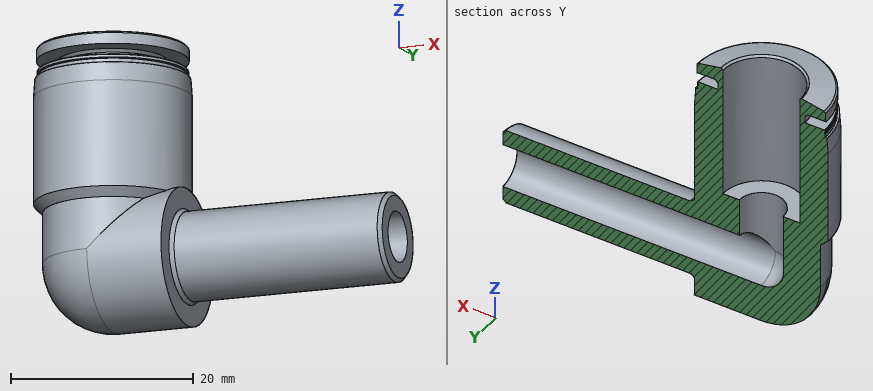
import cadquery as cq

overall_length = 42.45
overall_height = 32.65

body_d = 17.5
body_top_d = 17.2
elbow_d = 15.5
collar_d = 16.7
flange_d = 16.8
neck_d = 11.4
tube_d = 10.0
passage_d = 5.7

top_z = overall_height - elbow_d / 2
flange_bottom_z = 22.92
collar_top_z = 21.78
body_top_z = 20.8
body_taper_z = 18.7
body_bottom_z = 6.75
seat_z = elbow_d / 2

flange_slope_height = 0.55
flange_edge_chamfer = 0.2
neck_chamfer = 0.35
collar_chamfer = 0.1
collar_groove_top_drop = 0.4
collar_groove_width = 0.13
collar_groove_depth = 0.1
body_chamfer = (body_d - elbow_d) / 2
mouth_chamfer = 0.25
stem_root_flare = 0.35
stem_root_length = 0.45
stem_end_chamfer = 0.42

elbow_face_overhang = 0.05
elbow_face_x = body_d / 2 + elbow_face_overhang
stem_end_x = overall_length - body_d / 2


def revolve_about_z(points):
    """Turn a half profile of (radius, height) points into a solid about Z."""
    return cq.Workplane("XZ").polyline(points).close().revolve(360, (0, 0), (0, 1))


def revolve_about_x(points):
    """Turn a half profile of (distance, radius) points into a solid about X."""
    return cq.Workplane("XZ").polyline(points).close().revolve(360, (0, 0), (1, 0))


def rounded_elbow(diameter, leg_x, leg_z):
    """Two round legs along +X and +Z, closed at the outer corner by a quarter ball."""
    radius = diameter / 2
    half_disc = cq.Workplane("XY").moveTo(0, -radius).threePointArc((-radius, 0), (0, radius)).close()
    quarter_ball = half_disc.revolve(90, (0, radius), (0, -radius))
    upright = cq.Workplane("XY").circle(radius).extrude(leg_z)
    side = cq.Workplane("YZ").circle(radius).extrude(leg_x)
    return upright.union(side).union(quarter_ball)


def socket():
    """Socket body, stepped collar, neck and release flange."""
    collar_r = collar_d / 2
    flange_r = flange_d / 2
    neck_r = neck_d / 2
    groove_r = collar_r - collar_groove_depth
    groove_top_z = collar_top_z - collar_groove_top_drop
    groove_bottom_z = groove_top_z - collar_groove_width
    flange_edge_z = top_z - flange_slope_height
    return revolve_about_z([
        (0, body_bottom_z - body_chamfer),
        (elbow_d / 2, body_bottom_z - body_chamfer),
        (body_d / 2, body_bottom_z),
        (body_d / 2, body_taper_z),
        (body_top_d / 2, body_top_z),
        (collar_r, body_top_z),
        (collar_r, groove_bottom_z),
        (groove_r, groove_bottom_z),
        (groove_r, groove_top_z),
        (collar_r, groove_top_z),
        (collar_r, collar_top_z - collar_chamfer),
        (collar_r - collar_chamfer, collar_top_z),
        (neck_r, collar_top_z),
        (neck_r, flange_bottom_z - neck_chamfer),
        (neck_r + neck_chamfer, flange_bottom_z),
        (flange_r, flange_bottom_z),
        (flange_r, flange_edge_z - flange_edge_chamfer),
        (flange_r - flange_edge_chamfer, flange_edge_z),
        (tube_d / 2 + mouth_chamfer, top_z),
        (0, top_z),
    ])


def stem():
    """Plug-in stem with a flared root and a chamfered end."""
    stem_r = tube_d / 2
    return revolve_about_x([
        (0, 0),
        (0, stem_r + stem_root_flare),
        (elbow_face_x, stem_r + stem_root_flare),
        (elbow_face_x + stem_root_length, stem_r),
        (stem_end_x - stem_end_chamfer, stem_r),
        (stem_end_x, stem_r - stem_end_chamfer),
        (stem_end_x, 0),
    ])


def tube_bore():
    """Tube bore down to its seat, with a chamfered mouth."""
    bore_r = tube_d / 2
    return revolve_about_z([
        (0, seat_z),
        (bore_r, seat_z),
        (bore_r, top_z - mouth_chamfer),
        (bore_r + mouth_chamfer, top_z),
        (0, top_z),
    ])


outside = rounded_elbow(elbow_d, elbow_face_x, body_bottom_z - body_chamfer).union(socket()).union(stem())
result = outside.cut(tube_bore()).cut(rounded_elbow(passage_d, stem_end_x, seat_z))